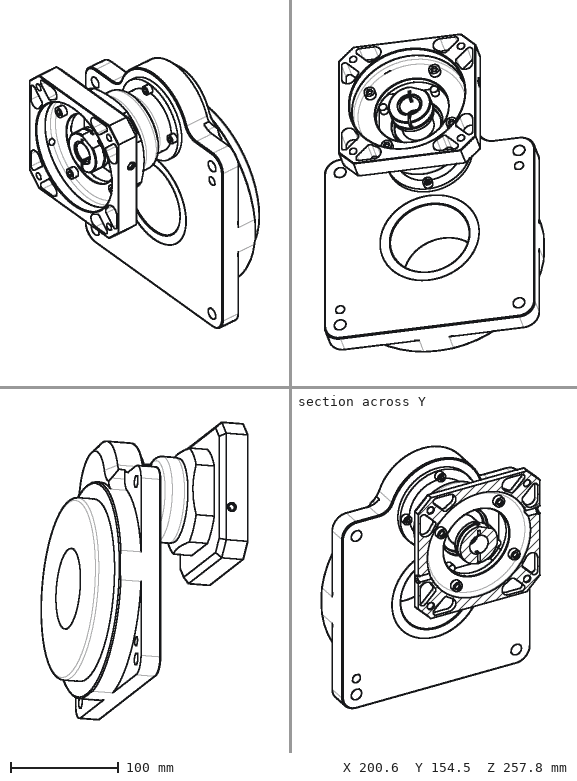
import cadquery as cq
import math


PLATE_SIDE = 200.0
PLATE_HALF = PLATE_SIDE / 2
PLATE_THICKNESS = 19.4
PLATE_CORNER_RADIUS = 15.0
PLATE_EDGE_CHAMFER = 1.0
PLATE_HOLE_OFFSET = 85.0
PLATE_HOLE_DIAMETER = 11.0
DOWEL_HOLE_OFFSET = 68.0
DOWEL_HOLE_DIAMETER = 8.43

HOUSING_RADIUS = 101.0
HOUSING_BACK = 40.4
HOUSING_CHAMFER = 1.4
RIM_REACH = 100.315
SQUARED_BACK = HOUSING_BACK - HOUSING_CHAMFER + HOUSING_RADIUS - RIM_REACH

TABLE_DIAMETER = 170.0
TABLE_BACK = 58.5
TABLE_FILLET = 2.5
BORE_DIAMETER = 75.0
BORE_CHAMFER = 0.7
BORE_RING_DIAMETER = 94.3
BORE_RING_RECESS = 0.3

AXIS_HEIGHT = 92.5
ARCH_RADIUS = 50.0
ARCH_BLEND_RADIUS = 15.0
ARCH_BACK = 35.3
ARCH_CHAMFER = 10.0
ARCH_ROOT_HEIGHT = 60.0

PAD_RADIUS = 41.0
PAD_FRONT = -4.65
NECK_RADIUS = 31.5
NECK_FRONT = -18.6
DRUM_RADIUS = 40.0
DRUM_BACK = -30.0
DRUM_FRONT = -41.8
DRUM_LIP_RADIUS = 39.4
DRUM_LIP_FRONT = -45.6
HEAD_RADIUS = 51.0
HEAD_CONE_FRONT = -51.8
HEAD_SQUARE = 90.0

PAD_SCREW_CIRCLE_RADIUS = 36.0
PAD_SCREW_DIAMETER = 8.5
PAD_SCREW_HEIGHT = 5.4
PAD_SCREW_HEX = 4.2

FLANGE_SIDE = 130.0
FLANGE_BACK = -69.5
OVERALL_LENGTH = 154.5
FLANGE_FRONT = TABLE_BACK - OVERALL_LENGTH
FLANGE_THICKNESS = FLANGE_BACK - FLANGE_FRONT
FLANGE_CORNER = 14.0
FLANGE_BACK_CHAMFER = 5.3
FLANGE_FRONT_CHAMFER = 0.5

PILOT_DIAMETER = 110.0
PILOT_DEPTH = 20.0
PILOT_SEAT_DEPTH = 10.7
PILOT_RELIEF = 0.3
PILOT_CHAMFER = 0.7
PILOT_FLOOR_FILLET = 3.3
PILOT_FLOOR = FLANGE_FRONT + PILOT_DEPTH

MOTOR_HOLE_CIRCLE_DIAMETER = 145.0
MOTOR_HOLE_DIAMETER = 6.8
MOTOR_HOLE_DEPTH = 16.0
DRILL_POINT_ANGLE = 118.0

FLANGE_SCREW_CIRCLE_RADIUS = 45.0
FLANGE_SCREW_DIAMETER = 10.0
FLANGE_SCREW_HEIGHT = 6.0
FLANGE_SCREW_HEX = 5.0
FLANGE_SCREW_ANGLES = (60, 150, 240, 330)
SOCKET_DEPTH = 3.0

POCKET_DEPTH = 20.0
POCKET_OUTER = 62.3
POCKET_RADIUS = 57.5
POCKET_END_RADIUS = 6.5
POCKET_DIAGONAL_GAP = 9.5
POCKET_TIP_FILLET = 3.0

ACCESS_HOLE_Y = -80.3
ACCESS_HOLE_DROP = 19.2
ACCESS_HOLE_DIAMETER = 6.0
ACCESS_SEAT_DIAMETER = 8.0
ACCESS_SEAT_DEPTH = 2.0

LIP_DIAMETER = 70.0
LIP_THICKNESS = 6.0
LIP_CHAMFER = 0.5
CAVITY_SIDE = 72.0
CAVITY_RADIUS = 45.0
CAVITY_FLOOR = -54.0
CAVITY_BOSS_HEIGHT = 7.0
CAVITY_BOSS_RADIUS = 3.6
CAVITY_BOSS_CIRCLE_RADIUS = 35.6

BEARING_SEAT_DIAMETER = 49.0
BEARING_SEAT_DEPTH = 3.0
BEARING_BORE_DIAMETER = 44.5
BEARING_BORE_DEPTH = 6.0
BEARING_BORE_FLOOR = CAVITY_FLOOR + BEARING_BORE_DEPTH
HUB_SHAFT_RADIUS = 15.0
HUB_BACK = -71.0
HUB_RADIUS = 20.0
HUB_FRONT = FLANGE_FRONT + 10.0
HUB_CHAMFER = 0.8
HUB_GROOVE_BACK = -74.7
HUB_GROOVE_FRONT = -76.0
HUB_GROOVE_RADIUS = 18.5
HUB_FLAT_DISTANCE = 18.1
HUB_FLAT_ANGLE = 67.0
HUB_MOUTH_DIAMETER = 23.0
HUB_MOUTH_DEPTH = 1.5
HUB_BORE_DIAMETER = 19.0
HUB_BORE_DEPTH = 24.0
SHAFT_STEP_DIAMETER = 17.0
SHAFT_STEP_DEPTH = 2.0
SHAFT_SOCKET_DIAMETER = 11.9
SHAFT_SOCKET_DEPTH = 3.0
SHAFT_HALF_SOCKET_DEPTH = 1.0
SLIT_WIDTH = 2.0
SHORT_SLIT_REACH = 15.0


def table_plane(y):
    """Sketch plane across the table axis; extruding moves toward -Y."""
    return cq.Workplane("XZ", origin=(0, y, 0))


def gear_plane(y):
    """Sketch plane across the gearbox axis; extruding moves toward -Y."""
    return cq.Workplane("XZ", origin=(0, y, AXIS_HEIGHT))


def turned(profile):
    """Closed (radius, y) wire turned about the gearbox axis."""
    return profile.close().revolve(360, (0, 0), (0, 1)).translate((0, 0, AXIS_HEIGHT))


def on_circle(radius, angle):
    turn = math.radians(angle)
    return (radius * math.cos(turn), radius * math.sin(turn))


def plate_with_arch(thickness):
    """Square outline topped by the arch, with concave blends between them, from y = 0 toward +Y."""
    blend_z = PLATE_HALF + ARCH_BLEND_RADIUS
    centre_distance = ARCH_RADIUS + ARCH_BLEND_RADIUS
    blend_x = math.sqrt(centre_distance**2 - (blend_z - AXIS_HEIGHT)**2)
    share = ARCH_RADIUS / centre_distance
    tangent_x = blend_x * share
    tangent_z = AXIS_HEIGHT + (blend_z - AXIS_HEIGHT) * share
    end_angle = math.atan2(tangent_z - blend_z, tangent_x - blend_x) % (2 * math.pi)
    mid_angle = (end_angle + 1.5 * math.pi) / 2
    mid_x = blend_x + ARCH_BLEND_RADIUS * math.cos(mid_angle)
    mid_z = blend_z + ARCH_BLEND_RADIUS * math.sin(mid_angle)
    return (
        table_plane(0)
        .moveTo(-PLATE_HALF, -PLATE_HALF)
        .lineTo(PLATE_HALF, -PLATE_HALF)
        .lineTo(PLATE_HALF, PLATE_HALF)
        .lineTo(blend_x, PLATE_HALF)
        .threePointArc((mid_x, mid_z), (tangent_x, tangent_z))
        .threePointArc((0, AXIS_HEIGHT + ARCH_RADIUS), (-tangent_x, tangent_z))
        .threePointArc((-mid_x, mid_z), (-blend_x, PLATE_HALF))
        .lineTo(-PLATE_HALF, PLATE_HALF)
        .close()
        .extrude(-thickness)
    )


def make_plate():
    plate = plate_with_arch(PLATE_THICKNESS)
    plate = plate.edges("|Y").edges(">X or <X").fillet(PLATE_CORNER_RADIUS)
    return plate.faces("<Y").edges().chamfer(PLATE_EDGE_CHAMFER)


def make_arch_back():
    """Deep part of the arch: flat sides that blend into the round housing, chamfered at the back."""
    blend_x = ARCH_RADIUS + ARCH_BLEND_RADIUS
    centre_distance = HOUSING_RADIUS + ARCH_BLEND_RADIUS
    blend_z = math.sqrt(centre_distance**2 - blend_x**2)
    share = HOUSING_RADIUS / centre_distance
    foot_x = blend_x * share
    foot_z = blend_z * share
    foot_angle = math.atan2(foot_z - blend_z, foot_x - blend_x) % (2 * math.pi)
    mid_angle = (foot_angle + math.pi) / 2
    mid_x = blend_x + ARCH_BLEND_RADIUS * math.cos(mid_angle)
    mid_z = blend_z + ARCH_BLEND_RADIUS * math.sin(mid_angle)
    top = AXIS_HEIGHT + ARCH_RADIUS + 1
    clip = (
        table_plane(PLATE_THICKNESS / 2)
        .moveTo(-foot_x, ARCH_ROOT_HEIGHT)
        .lineTo(foot_x, ARCH_ROOT_HEIGHT)
        .lineTo(foot_x, foot_z)
        .threePointArc((mid_x, mid_z), (ARCH_RADIUS, blend_z))
        .lineTo(ARCH_RADIUS, top)
        .lineTo(-ARCH_RADIUS, top)
        .lineTo(-ARCH_RADIUS, blend_z)
        .threePointArc((-mid_x, mid_z), (-foot_x, foot_z))
        .close()
        .extrude(-ARCH_BACK)
    )
    return plate_with_arch(ARCH_BACK).faces(">Y").edges().chamfer(ARCH_CHAMFER).intersect(clip)


def make_housing():
    """Round housing, squared off flush with the plate, and the rotary table behind it."""
    disk = table_plane(HOUSING_BACK).circle(HOUSING_RADIUS).extrude(HOUSING_BACK - PLATE_THICKNESS / 2)
    disk = disk.faces(">Y").edges().chamfer(HOUSING_CHAMFER)
    square = table_plane(SQUARED_BACK).rect(PLATE_SIDE, PLATE_SIDE).extrude(SQUARED_BACK)
    rim = table_plane(HOUSING_BACK).circle(HOUSING_RADIUS).extrude(HOUSING_BACK - SQUARED_BACK)
    table = table_plane(TABLE_BACK).circle(TABLE_DIAMETER / 2).extrude(TABLE_BACK - PLATE_THICKNESS)
    table = table.faces(">Y").edges().fillet(TABLE_FILLET)
    return disk.intersect(square.union(rim)).union(table)


def cut_plate_holes(body):
    far, near = PLATE_HOLE_OFFSET, DOWEL_HOLE_OFFSET
    mounting = [(-far, -far), (far, -far), (far, far), (-far, far)]
    dowels = [(far, near), (-far, -near)]
    for points, diameter in ((mounting, PLATE_HOLE_DIAMETER), (dowels, DOWEL_HOLE_DIAMETER)):
        drills = table_plane(PLATE_THICKNESS).pushPoints(points).circle(diameter / 2).extrude(PLATE_THICKNESS)
        body = body.cut(drills)
    return body


def cut_table_bore(body):
    ring = table_plane(BORE_RING_RECESS).circle(BORE_RING_DIAMETER / 2).extrude(BORE_RING_RECESS)
    bore_radius = BORE_DIAMETER / 2
    mouth_radius = bore_radius + BORE_CHAMFER
    bore = (
        cq.Workplane("XY")
        .moveTo(0, BORE_RING_RECESS)
        .lineTo(mouth_radius, BORE_RING_RECESS)
        .lineTo(bore_radius, BORE_RING_RECESS + BORE_CHAMFER)
        .lineTo(bore_radius, TABLE_BACK)
        .lineTo(0, TABLE_BACK)
        .close()
        .revolve(360, (0, 0), (0, 1))
    )
    return body.cut(ring).cut(bore)


def make_gearbox():
    """Pad, neck, S-curved shoulder and drum, ending in a coned square head."""
    mid_radius = (NECK_RADIUS + DRUM_RADIUS) / 2
    mid_y = (NECK_FRONT + DRUM_BACK) / 2
    body = turned(
        cq.Workplane("XY")
        .moveTo(0, PLATE_THICKNESS / 2)
        .lineTo(PAD_RADIUS, PLATE_THICKNESS / 2)
        .lineTo(PAD_RADIUS, PAD_FRONT)
        .lineTo(NECK_RADIUS, PAD_FRONT)
        .lineTo(NECK_RADIUS, NECK_FRONT)
        .tangentArcPoint((mid_radius, mid_y), relative=False)
        .tangentArcPoint((DRUM_RADIUS, DRUM_BACK), relative=False)
        .lineTo(DRUM_RADIUS, DRUM_FRONT)
        .lineTo(DRUM_LIP_RADIUS, DRUM_LIP_FRONT)
        .lineTo(HEAD_RADIUS, HEAD_CONE_FRONT)
        .lineTo(HEAD_RADIUS, FLANGE_BACK)
        .lineTo(0, FLANGE_BACK)
    )
    square = gear_plane(PLATE_THICKNESS).rect(HEAD_SQUARE, HEAD_SQUARE).extrude(PLATE_THICKNESS - FLANGE_BACK)
    return body.intersect(square)


def make_flange():
    flange = gear_plane(FLANGE_BACK).rect(FLANGE_SIDE, FLANGE_SIDE).extrude(FLANGE_THICKNESS)
    flange = flange.edges("|Y").chamfer(FLANGE_CORNER)
    flange = flange.faces(">Y").edges().chamfer(FLANGE_BACK_CHAMFER)
    return flange.faces("<Y").edges().chamfer(FLANGE_FRONT_CHAMFER)


def cut_pilot(body):
    """Motor pilot recess and the lip opening into the clamp cavity."""
    pilot_radius = PILOT_DIAMETER / 2
    seat = gear_plane(FLANGE_FRONT).circle(pilot_radius).extrude(-PILOT_SEAT_DEPTH)
    recess = gear_plane(PILOT_FLOOR).circle(pilot_radius - PILOT_RELIEF).extrude(PILOT_DEPTH)
    recess = recess.faces(">Y").edges().fillet(PILOT_FLOOR_FILLET)
    mouth = gear_plane(FLANGE_FRONT).circle(pilot_radius + PILOT_CHAMFER).extrude(-PILOT_CHAMFER, taper=45)
    lip_back = PILOT_FLOOR + LIP_THICKNESS
    lip_radius = LIP_DIAMETER / 2
    lip = gear_plane(lip_back).circle(lip_radius).extrude(LIP_THICKNESS)
    lip_mouth = gear_plane(PILOT_FLOOR).circle(lip_radius + LIP_CHAMFER).extrude(-LIP_CHAMFER, taper=45)
    return body.cut(seat).cut(recess).cut(mouth).cut(lip).cut(lip_mouth)


def cut_cavity(body):
    """Rounded square cavity behind the lip, with four bosses and a bearing seat on its floor."""
    depth = CAVITY_FLOOR - PILOT_FLOOR - LIP_THICKNESS
    cavity = gear_plane(CAVITY_FLOOR).rect(CAVITY_SIDE, CAVITY_SIDE).extrude(depth)
    cavity = cavity.intersect(gear_plane(CAVITY_FLOOR).circle(CAVITY_RADIUS).extrude(depth))
    points = [on_circle(CAVITY_BOSS_CIRCLE_RADIUS, angle) for angle in FLANGE_SCREW_ANGLES]
    boss_circles = gear_plane(CAVITY_FLOOR).pushPoints(points).circle(CAVITY_BOSS_RADIUS)
    bosses = boss_circles.extrude(CAVITY_BOSS_HEIGHT)
    body = body.cut(cavity.cut(bosses))
    bearing_seat = gear_plane(CAVITY_FLOOR).circle(BEARING_SEAT_DIAMETER / 2).extrude(-BEARING_SEAT_DEPTH)
    bearing_bore = gear_plane(CAVITY_FLOOR).circle(BEARING_BORE_DIAMETER / 2).extrude(-BEARING_BORE_DEPTH)
    return body.cut(bearing_seat).cut(bearing_bore)


def make_pocket():
    """Lightening pocket by the +X, +Z flange corner; its round end touches the arc around the pilot."""
    tip_x = POCKET_OUTER - POCKET_DIAGONAL_GAP
    gap = POCKET_DIAGONAL_GAP
    low_x = (math.sqrt(2 * POCKET_RADIUS**2 - gap**2) - gap) / 2
    low = (low_x, low_x + gap)

    end_z = POCKET_OUTER - POCKET_END_RADIUS
    end_x = math.sqrt((POCKET_RADIUS + POCKET_END_RADIUS)**2 - end_z**2)
    end_angle = math.degrees(math.atan2(end_z, end_x))
    touch = on_circle(POCKET_RADIUS, end_angle)
    end_mid = on_circle(POCKET_END_RADIUS, (90 + 180 + end_angle) / 2)
    low_angle = math.degrees(math.atan2(low[1], low[0]))
    inner_mid = on_circle(POCKET_RADIUS, (low_angle + end_angle) / 2)

    pocket = (
        gear_plane(FLANGE_FRONT)
        .moveTo(tip_x, POCKET_OUTER)
        .lineTo(end_x, POCKET_OUTER)
        .threePointArc((end_x + end_mid[0], end_z + end_mid[1]), touch)
        .threePointArc(inner_mid, low)
        .close()
        .extrude(-POCKET_DEPTH)
    )
    for x, z in ((tip_x, POCKET_OUTER), low):
        edge_middle = (x, FLANGE_FRONT + POCKET_DEPTH / 2, z + AXIS_HEIGHT)
        pocket = pocket.edges(cq.NearestToPointSelector(edge_middle)).fillet(POCKET_TIP_FILLET)
    return pocket


def cut_pockets(body):
    axis_start = (0, 0, AXIS_HEIGHT)
    axis_end = (0, 1, AXIS_HEIGHT)
    right = make_pocket()
    left = right.mirror("YZ")
    for quarter in range(4):
        for pocket in (right, left):
            body = body.cut(pocket.rotate(axis_start, axis_end, 90 * quarter))
    return body


def cut_motor_holes(body):
    """Blind drilled holes with a pointed bottom, one in each flange corner."""
    radius = MOTOR_HOLE_DIAMETER / 2
    bottom = FLANGE_FRONT + MOTOR_HOLE_DEPTH
    point = radius / math.tan(math.radians(DRILL_POINT_ANGLE / 2))
    drill = (
        cq.Workplane("XY")
        .moveTo(0, FLANGE_FRONT)
        .lineTo(radius, FLANGE_FRONT)
        .lineTo(radius, bottom)
        .lineTo(0, bottom + point)
    )
    drill = turned(drill)
    for quarter in range(4):
        x, z = on_circle(MOTOR_HOLE_CIRCLE_DIAMETER / 2, 45 + 90 * quarter)
        body = body.cut(drill.translate((x, 0, z)))
    return body


def cut_access_holes(body):
    """Stepped holes from the two flange sides into the pilot recess, half a turn apart."""
    half = FLANGE_SIDE / 2
    for side in (-1, 1):
        start = (side * half, ACCESS_HOLE_Y, AXIS_HEIGHT + side * ACCESS_HOLE_DROP)
        plane = cq.Workplane("YZ", origin=start)
        hole = plane.circle(ACCESS_HOLE_DIAMETER / 2).extrude(-side * half / 2)
        seat = plane.circle(ACCESS_SEAT_DIAMETER / 2).extrude(-side * ACCESS_SEAT_DEPTH)
        body = body.cut(hole).cut(seat)
    return body


def socket_screws(seat_y, points, diameter, height, hex_size):
    """Cap screw heads standing on a seat, each with a hexagon socket."""
    hex_corners = hex_size / math.cos(math.radians(30))
    heads = gear_plane(seat_y).pushPoints(points).circle(diameter / 2).extrude(height)
    front = gear_plane(seat_y - height)
    return heads.cut(front.pushPoints(points).polygon(6, hex_corners).extrude(-SOCKET_DEPTH))


def make_hub():
    """Slit clamp hub on a thinner shaft, with a groove, one flat and a stepped bore."""
    hub = gear_plane(HUB_BACK).circle(HUB_RADIUS).extrude(HUB_BACK - HUB_FRONT)
    hub = hub.faces("<Y").edges().chamfer(HUB_CHAMFER)

    groove = gear_plane(HUB_GROOVE_BACK).circle(HUB_RADIUS).circle(HUB_GROOVE_RADIUS)
    hub = hub.cut(groove.extrude(HUB_GROOVE_BACK - HUB_GROOVE_FRONT))

    shaft = gear_plane(BEARING_BORE_FLOOR).circle(HUB_SHAFT_RADIUS)
    hub = hub.union(shaft.extrude(BEARING_BORE_FLOOR - HUB_BACK))

    flat_x, flat_z = on_circle(HUB_FLAT_DISTANCE + HUB_RADIUS / 2, HUB_FLAT_ANGLE)
    flat = (
        gear_plane(HUB_BACK)
        .center(flat_x, flat_z)
        .transformed(rotate=(0, 0, HUB_FLAT_ANGLE))
        .rect(HUB_RADIUS, 2 * HUB_RADIUS)
        .extrude(HUB_BACK - HUB_FRONT)
    )
    hub = hub.cut(flat)

    step_depth = HUB_BORE_DEPTH + SHAFT_STEP_DEPTH
    socket_depth = step_depth + SHAFT_SOCKET_DEPTH
    steps = (
        (HUB_MOUTH_DIAMETER, HUB_MOUTH_DEPTH),
        (HUB_BORE_DIAMETER, HUB_BORE_DEPTH),
        (SHAFT_STEP_DIAMETER, step_depth),
        (SHAFT_SOCKET_DIAMETER, socket_depth),
    )
    for diameter, depth in steps:
        hub = hub.cut(gear_plane(HUB_FRONT).circle(diameter / 2).extrude(-depth))

    half_socket = (
        gear_plane(HUB_FRONT + socket_depth)
        .moveTo(-SHAFT_SOCKET_DIAMETER / 2, 0)
        .threePointArc((0, SHAFT_SOCKET_DIAMETER / 2), (SHAFT_SOCKET_DIAMETER / 2, 0))
        .close()
        .extrude(-SHAFT_HALF_SOCKET_DEPTH)
    )
    hub = hub.cut(half_socket)

    slit_depth = HUB_GROOVE_FRONT - HUB_FRONT
    for reach in (SHORT_SLIT_REACH, -HUB_RADIUS):
        slit = gear_plane(HUB_FRONT).center(0, reach / 2).rect(SLIT_WIDTH, abs(reach))
        hub = hub.cut(slit.extrude(-slit_depth))
    return hub


base = make_plate().union(make_arch_back()).union(make_housing())
base = cut_table_bore(cut_plate_holes(base))

motor_end = make_gearbox().union(make_flange())
motor_end = cut_cavity(cut_pilot(motor_end))
motor_end = cut_pockets(motor_end)
motor_end = cut_motor_holes(motor_end)
motor_end = cut_access_holes(motor_end)

pad_points = [on_circle(PAD_SCREW_CIRCLE_RADIUS, 90 * quarter) for quarter in range(4)]
pad_screws = socket_screws(PAD_FRONT, pad_points, PAD_SCREW_DIAMETER, PAD_SCREW_HEIGHT, PAD_SCREW_HEX)
flange_points = [on_circle(FLANGE_SCREW_CIRCLE_RADIUS, angle) for angle in FLANGE_SCREW_ANGLES]
flange_screws = socket_screws(
    PILOT_FLOOR, flange_points, FLANGE_SCREW_DIAMETER, FLANGE_SCREW_HEIGHT, FLANGE_SCREW_HEX
)

result = base.union(motor_end).union(pad_screws).union(flange_screws)
result = result.union(make_hub())